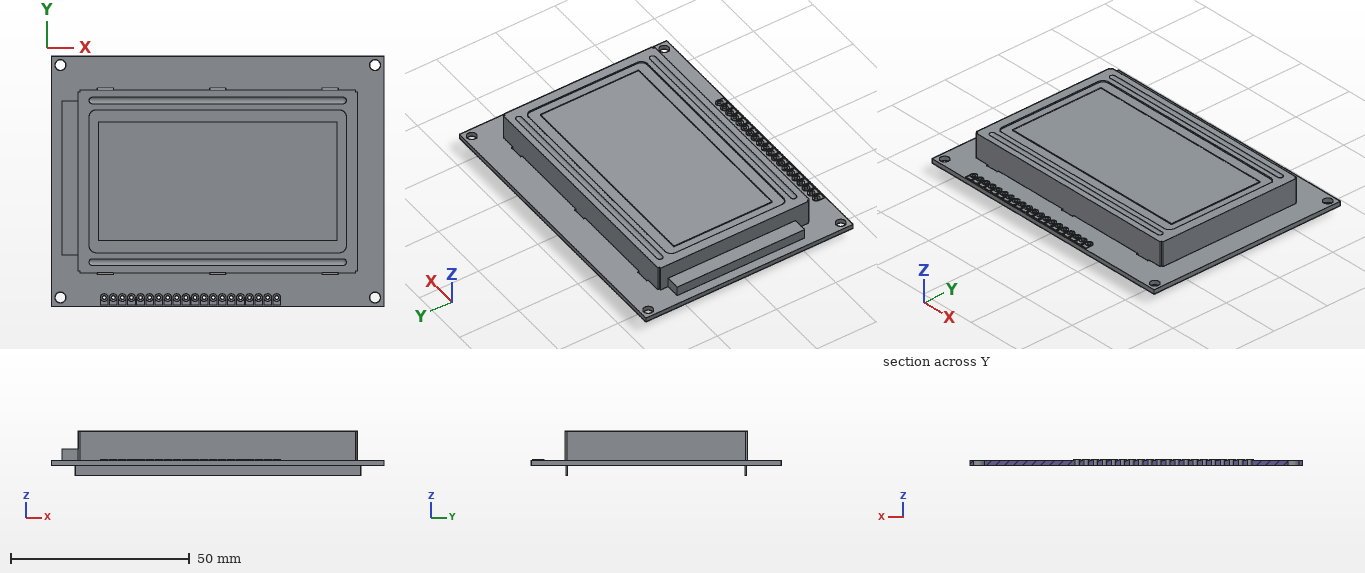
import cadquery as cq

OVERALL_HEIGHT = 12.5

BOARD_LENGTH = 93.0
BOARD_WIDTH = 70.0
BOARD_THICKNESS = 1.5
MOUNT_HOLE_DIAMETER = 3.0
MOUNT_HOLE_INSET = 2.5

FRAME_LENGTH = 78.1
FRAME_WIDTH = 51.15
FRAME_HEIGHT = 8.2
FRAME_CORNER_NOTCH = 0.6

WINDOW_LENGTH = 72.0
WINDOW_WIDTH = 40.0
WINDOW_CORNER_RADIUS = 2.0
WINDOW_DEPTH = 0.5
SCREEN_LENGTH = 66.6
SCREEN_WIDTH = 33.2
SCREEN_RISE = 0.3

GROOVE_WIDTH = 1.9
GROOVE_DEPTH = 0.5
GROOVE_LENGTH = WINDOW_LENGTH
GROOVE_OFFSET = 22.6

BACKLIGHT_REACH = 4.6
BACKLIGHT_WIDTH = 43.1
BACKLIGHT_HEIGHT = 3.2
BACKLIGHT_CENTRE_Y = 0.9

STRIP_LENGTH = 79.9
STRIP_CENTRE_X = 0.1
STRIP_THICKNESS = 0.5
STRIP_HEIGHT = OVERALL_HEIGHT - FRAME_HEIGHT - BOARD_THICKNESS
STRIP_OFFSET = 25.0
SLOT_LENGTH = 4.5
SLOT_WIDTH = 0.5
SLOT_PITCH = 31.4

PAD_COUNT = 20
PAD_ROW_LENGTH = 48.3
PAD_PITCH = PAD_ROW_LENGTH / (PAD_COUNT - 1)
PAD_ROW_CENTRE_X = -7.6
PAD_DIAMETER = 2.1
PAD_HEIGHT = 0.3
PAD_TAIL_LENGTH = 2.1
PAD_TAIL_HEIGHT = 0.2
PIN_HOLE_DIAMETER = 1.0


def block(length, width, height, x=0, y=0, z=0):
    """Box centred on (x, y) that stands on height z."""
    return cq.Workplane("XY").box(length, width, height, (True, True, False)).translate((x, y, z))


def make_board():
    board = block(BOARD_LENGTH, BOARD_WIDTH, BOARD_THICKNESS, z=-BOARD_THICKNESS)
    hole_span_x = BOARD_LENGTH - 2 * MOUNT_HOLE_INSET
    hole_span_y = BOARD_WIDTH - 2 * MOUNT_HOLE_INSET
    return (
        board.faces(">Z")
        .workplane()
        .rect(hole_span_x, hole_span_y, forConstruction=True)
        .vertices()
        .hole(MOUNT_HOLE_DIAMETER)
    )


def make_groove(y):
    """Cutter of circular cross-section, with ball ends, sunk into the frame top."""
    radius = (GROOVE_WIDTH**2 / 4 + GROOVE_DEPTH**2) / (2 * GROOVE_DEPTH)
    straight = GROOVE_LENGTH - GROOVE_WIDTH
    groove = cq.Workplane("YZ").circle(radius).extrude(straight / 2, both=True)
    for x in (-straight / 2, straight / 2):
        groove = groove.union(cq.Workplane("XY").sphere(radius).translate((x, 0, 0)))
    return groove.translate((0, y, FRAME_HEIGHT - GROOVE_DEPTH + radius))


def make_frame():
    frame = block(FRAME_LENGTH - 2 * FRAME_CORNER_NOTCH, FRAME_WIDTH, FRAME_HEIGHT)
    frame = frame.union(block(FRAME_LENGTH, FRAME_WIDTH - 2 * FRAME_CORNER_NOTCH, FRAME_HEIGHT))
    window_floor = FRAME_HEIGHT - WINDOW_DEPTH
    window = block(WINDOW_LENGTH, WINDOW_WIDTH, WINDOW_DEPTH, z=window_floor)
    frame = frame.cut(window.edges("|Z").fillet(WINDOW_CORNER_RADIUS))
    frame = frame.union(block(SCREEN_LENGTH, SCREEN_WIDTH, SCREEN_RISE, z=window_floor))
    for y in (-GROOVE_OFFSET, GROOVE_OFFSET):
        frame = frame.cut(make_groove(y))
    return frame


def make_backlight():
    x = -(FRAME_LENGTH + BACKLIGHT_REACH) / 2
    return block(BACKLIGHT_REACH, BACKLIGHT_WIDTH, BACKLIGHT_HEIGHT, x, BACKLIGHT_CENTRE_Y)


def add_strips_and_slots(part):
    strip_z = -BOARD_THICKNESS - STRIP_HEIGHT
    for side in (-1, 1):
        strip = block(STRIP_LENGTH, STRIP_THICKNESS, STRIP_HEIGHT)
        part = part.union(strip.translate((STRIP_CENTRE_X, side * STRIP_OFFSET, strip_z)))
        slot_y = side * (FRAME_WIDTH + SLOT_WIDTH) / 2
        for x in (-SLOT_PITCH, 0, SLOT_PITCH):
            part = part.cut(block(SLOT_LENGTH, SLOT_WIDTH, BOARD_THICKNESS, x, slot_y, -BOARD_THICKNESS))
    return part


def cylinders(points, diameter, height, z=0):
    """One upright cylinder at each point, standing on height z."""
    return cq.Workplane("XY", origin=(0, 0, z)).pushPoints(points).circle(diameter / 2).extrude(height)


def add_pads(part):
    """Round pads with lower tails toward the board edge, each drilled through."""
    pad_y = MOUNT_HOLE_INSET - BOARD_WIDTH / 2
    first_pad_x = PAD_ROW_CENTRE_X - PAD_ROW_LENGTH / 2
    points = [(first_pad_x + i * PAD_PITCH, pad_y) for i in range(PAD_COUNT)]
    tail_y = pad_y - PAD_TAIL_LENGTH / 2
    for x, _ in points:
        part = part.union(block(PAD_DIAMETER, PAD_TAIL_LENGTH, PAD_TAIL_HEIGHT, x, tail_y))
    part = part.union(cylinders(points, PAD_DIAMETER, PAD_HEIGHT))
    drill_height = BOARD_THICKNESS + PAD_HEIGHT
    return part.cut(cylinders(points, PIN_HOLE_DIAMETER, drill_height, -BOARD_THICKNESS))


result = make_board().union(make_frame()).union(make_backlight())
result = add_strips_and_slots(result)
result = add_pads(result)